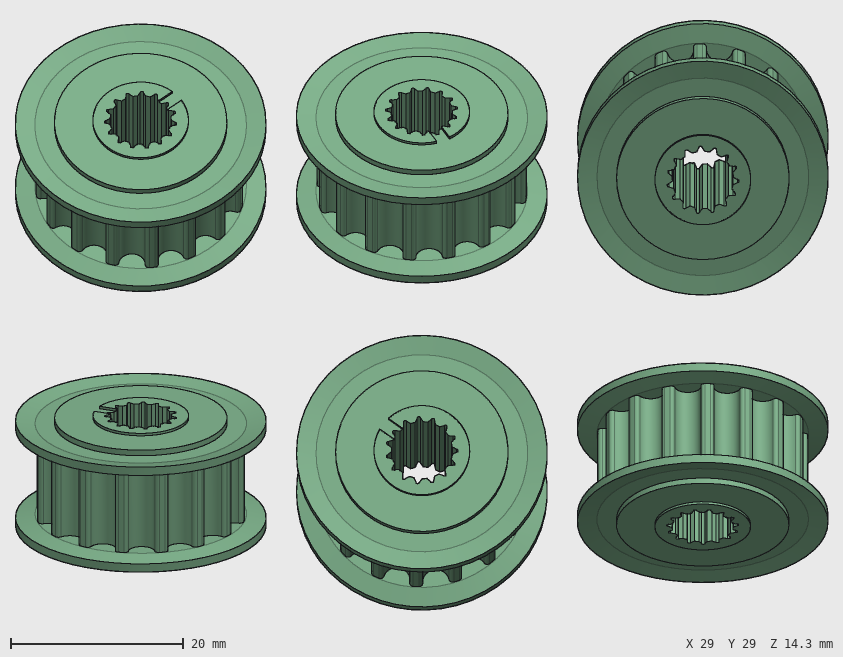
import cadquery as cq
import math


total_height = 14.3

tooth_top = 5.1
hub_top = 6.85
collar_top = total_height / 2

flange_thickness = 1.05
rim_rise = 0.4

flange_radius = 14.5
dish_radius = 12.25
hub_radius = 9.98
collar_radius = 5.55

tooth_count = 16
tooth_tip_radius = 12.15
groove_radius = 1.55
groove_floor_radius = 10.15
tooth_rounding = 0.44

spline_count = 15
bore_radius = 3.55
spline_tip_radius = 4.18
spline_base_half_width = 0.45
spline_end_half_width = 0.188
spline_end_radius = 4.0

mark_width = 1.65


def cylinder(radius, half_height):
    """Cylinder on the Z axis, symmetric about the middle plane."""
    return cq.Workplane("XY").circle(radius).extrude(half_height, both=True)


def make_toothed_drum():
    """Drum with round belt grooves, one of them on +X, and rounded tooth corners."""
    drum = cylinder(tooth_tip_radius, tooth_top)
    grooves = (
        cq.Workplane("XY")
        .polarArray(groove_floor_radius + groove_radius, 0, 360, tooth_count)
        .circle(groove_radius)
        .extrude(tooth_top, both=True)
    )
    return drum.cut(grooves).edges("|Z").fillet(tooth_rounding)


def make_bore():
    """Through bore with round-tipped spline grooves, one of them on +Y."""
    bore = cylinder(bore_radius, collar_top)
    base_y = math.sqrt(bore_radius**2 - spline_base_half_width**2)
    groove = (
        cq.Workplane("XY")
        .moveTo(-spline_base_half_width, 0)
        .lineTo(-spline_base_half_width, base_y)
        .lineTo(-spline_end_half_width, spline_end_radius)
        .threePointArc((0, spline_tip_radius), (spline_end_half_width, spline_end_radius))
        .lineTo(spline_base_half_width, base_y)
        .lineTo(spline_base_half_width, 0)
        .close()
        .extrude(collar_top, both=True)
    )
    for i in range(spline_count):
        bore = bore.union(groove.rotate((0, 0, 0), (0, 0, 1), i * 360 / spline_count))
    return bore


def make_mark():
    """Slot from the bore to the +Y edge of the top collar, down to the hub face."""
    return (
        cq.Workplane("XY")
        .workplane(offset=hub_top)
        .rect(mark_width, 2 * collar_radius)
        .extrude(collar_top - hub_top)
        .translate((0, collar_radius, 0))
    )


def make_core():
    """Toothed drum with a hub and a collar at both ends, bored through."""
    core = make_toothed_drum()
    core = core.union(cylinder(hub_radius, hub_top))
    core = core.union(cylinder(collar_radius, collar_top))
    return core.cut(make_bore()).cut(make_mark())


def make_flange(side):
    """Dished ring on a hub, against the drum end; side is +1 for the top and -1 for the bottom."""
    inner_face = side * tooth_top
    outer_face = side * (tooth_top + flange_thickness)
    rise = side * rim_rise
    return (
        cq.Workplane("XZ")
        .polyline([
            (hub_radius, inner_face),
            (dish_radius, inner_face),
            (flange_radius, inner_face + rise),
            (flange_radius, outer_face + rise),
            (dish_radius, outer_face),
            (hub_radius, outer_face),
        ])
        .close()
        .revolve(360, (0, 0, 0), (0, 1, 0))
    )


core = make_core()
flanges = [make_flange(side) for side in (1, -1)]

result = cq.Compound.makeCompound([core.solids().val(), *[flange.val() for flange in flanges]])